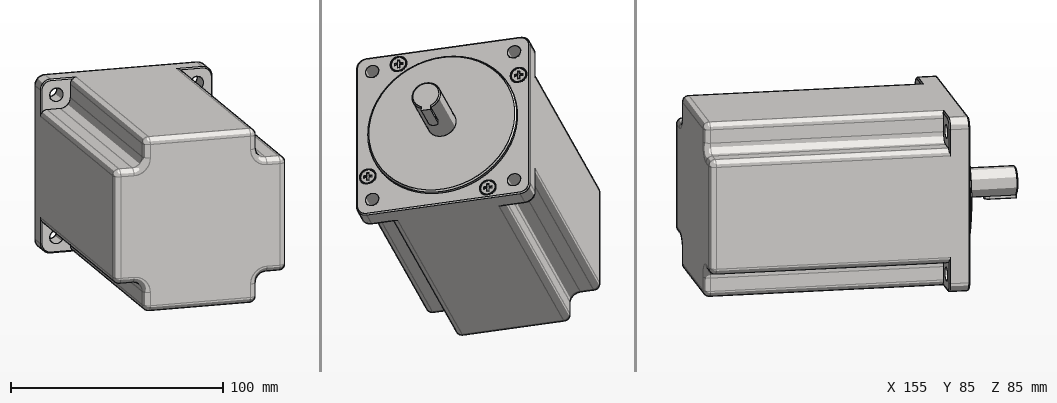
import cadquery as cq

OVERALL_LENGTH = 155.0
FRAME_SIZE = 85.0
HALF_FRAME = FRAME_SIZE / 2

FLANGE_FACE_X = 30.0
FLANGE_THICKNESS = 9.9
FLANGE_CORNER_RADIUS = 5.0
FLANGE_EDGE_CHAMFER = 0.6
MOUNT_HOLE_OFFSET = 34.7
MOUNT_HOLE_DIAMETER = 6.5

BOSS_DIAMETER = 73.0
BOSS_HEIGHT = 2.2
BOSS_FACE_X = FLANGE_FACE_X - BOSS_HEIGHT
BOSS_CHAMFER = 0.8

SHAFT_DIAMETER = 14.0
SHAFT_CHAMFER = 0.6
KEY_WIDTH = 4.5
KEY_LENGTH = 15.2
KEY_TOP = 8.0
KEY_ROOT = 5.0

NOTCH_WALL = 27.9
NOTCH_ROOT_RADIUS = 5.0
BODY_EDGE_RADIUS = 3.1
BODY_START_X = FLANGE_FACE_X + FLANGE_THICKNESS / 2

SCREW_NEAR = 21.9
SCREW_FAR = 36.9
SCREW_POSITIONS = [
    (SCREW_NEAR, SCREW_FAR),
    (-SCREW_FAR, SCREW_NEAR),
    (-SCREW_NEAR, -SCREW_FAR),
    (SCREW_FAR, -SCREW_NEAR),
]
SCREW_SEAT_DIAMETER = 8.0
SCREW_HEAD_DIAMETER = 7.1
SCREW_GAP_DEPTH = 0.8
CROSS_LENGTH = 4.0
CROSS_ARM_WIDTH = 1.1
CROSS_DEPTH = 0.8


def cross_plane(x):
    """Sketch plane across the shaft axis: local (x, y) is global (Y, Z) and it extrudes toward +X."""
    return cq.Workplane("YZ", origin=(x, 0, 0))


def make_notch(y_side, z_side, length):
    """Square bar removed along one corner of the body, rounded where it digs deepest."""
    width = HALF_FRAME - NOTCH_WALL
    centre = NOTCH_WALL + width / 2
    inner_edge = cq.selectors.NearestToPointSelector(
        (BODY_START_X + length / 2, y_side * NOTCH_WALL, z_side * NOTCH_WALL)
    )
    return (
        cross_plane(BODY_START_X)
        .center(y_side * centre, z_side * centre)
        .rect(width, width)
        .extrude(length)
        .edges("|X")
        .edges(inner_edge)
        .fillet(NOTCH_ROOT_RADIUS)
    )


def make_body():
    length = OVERALL_LENGTH - BODY_START_X
    body = cross_plane(BODY_START_X).rect(FRAME_SIZE, FRAME_SIZE).extrude(length)
    for y_side in (-1, 1):
        for z_side in (-1, 1):
            body = body.cut(make_notch(y_side, z_side, length))
    body = body.faces("<Y or >Y or <Z or >Z").edges("|X").fillet(BODY_EDGE_RADIUS)
    return body.faces(">X").edges().fillet(BODY_EDGE_RADIUS)


def make_flange():
    return (
        cross_plane(FLANGE_FACE_X)
        .rect(FRAME_SIZE, FRAME_SIZE)
        .extrude(FLANGE_THICKNESS)
        .edges("|X")
        .fillet(FLANGE_CORNER_RADIUS)
        .faces("<X or >X")
        .chamfer(FLANGE_EDGE_CHAMFER)
    )


def make_mount_holes():
    spacing = 2 * MOUNT_HOLE_OFFSET
    return (
        cross_plane(FLANGE_FACE_X)
        .rect(spacing, spacing, forConstruction=True)
        .vertices()
        .circle(MOUNT_HOLE_DIAMETER / 2)
        .extrude(FLANGE_THICKNESS)
    )


def make_boss():
    return (
        cross_plane(BOSS_FACE_X)
        .circle(BOSS_DIAMETER / 2)
        .extrude(BOSS_HEIGHT)
        .faces("<X")
        .chamfer(BOSS_CHAMFER)
    )


def make_shaft():
    return (
        cross_plane(0)
        .circle(SHAFT_DIAMETER / 2)
        .extrude(BOSS_FACE_X)
        .faces("<X")
        .chamfer(SHAFT_CHAMFER)
    )


def make_key():
    """Key on the -Z side of the shaft: square at the shaft tip, round at its inner end."""
    straight_length = KEY_LENGTH - KEY_WIDTH / 2
    return (
        cq.Workplane("XY", origin=(0, 0, -KEY_TOP))
        .moveTo(0, -KEY_WIDTH / 2)
        .lineTo(straight_length, -KEY_WIDTH / 2)
        .threePointArc((KEY_LENGTH, 0), (straight_length, KEY_WIDTH / 2))
        .lineTo(0, KEY_WIDTH / 2)
        .close()
        .extrude(KEY_TOP - KEY_ROOT)
    )


def make_screw_recesses():
    """Narrow gap around each screw head, and the cross recess in the head."""
    sites = cross_plane(FLANGE_FACE_X).pushPoints(SCREW_POSITIONS)
    seats = sites.circle(SCREW_SEAT_DIAMETER / 2).extrude(SCREW_GAP_DEPTH)
    heads = sites.circle(SCREW_HEAD_DIAMETER / 2).extrude(SCREW_GAP_DEPTH)
    bars_along_y = sites.rect(CROSS_LENGTH, CROSS_ARM_WIDTH).extrude(CROSS_DEPTH)
    bars_along_z = sites.rect(CROSS_ARM_WIDTH, CROSS_LENGTH).extrude(CROSS_DEPTH)
    return seats.cut(heads).union(bars_along_y).union(bars_along_z)


housing = make_body().union(make_flange()).union(make_boss())
housing = housing.cut(make_mount_holes()).cut(make_screw_recesses())
result = housing.union(make_shaft()).union(make_key())